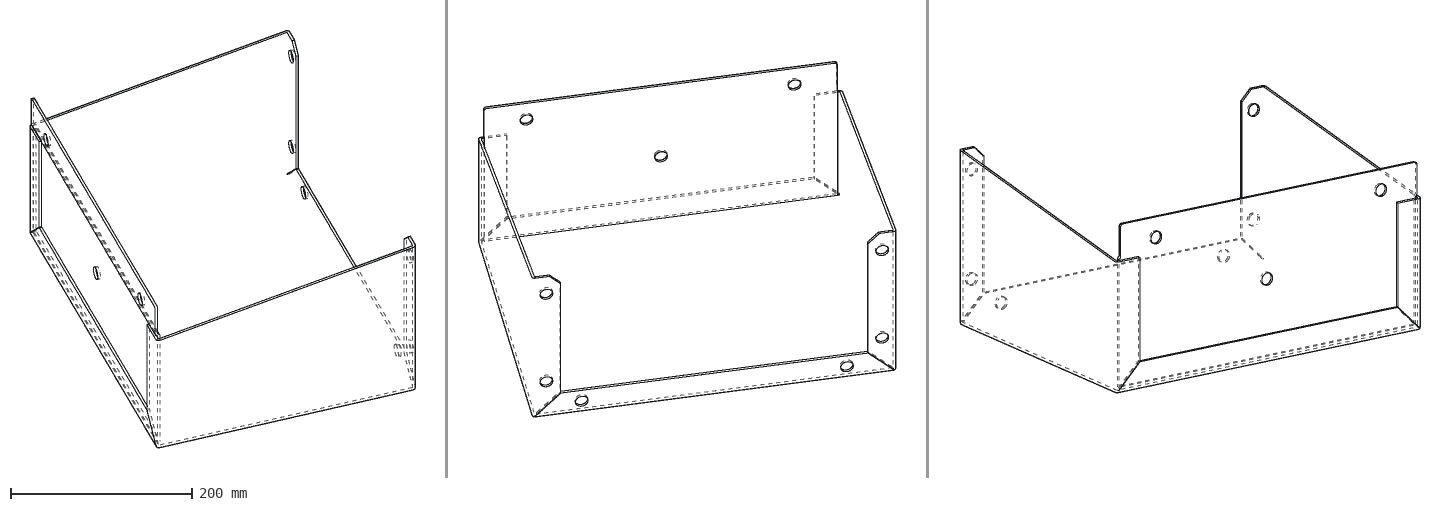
import cadquery as cq
import math

WIDTH = 409.575
DEPTH = 304.8
BACK_HEIGHT = 203.2
FRONT_HEIGHT = 152.4

SHEET = 3.04
INNER_BEND = 0.4
OUTER_BEND = SHEET + INNER_BEND

FLANGE = 31.75
FLANGE_CHAMFER = 12.7
SEAM = 0.5
MITRE_ANGLE = 45

HOLE_DIAMETER = 14.29
TAB_HOLE_SPAN = 301.625
BACK_HOLE_SPAN = 298.45
SIDE_FLANGE_HOLE_HEIGHTS = (50.8, 177.8)
FLANGE_MIDDLE = FLANGE / 2

PANEL_CLEARANCE = 3.0
PANEL_WIDTH = WIDTH - 2 * (SHEET + PANEL_CLEARANCE)
PANEL_BOTTOM = SHEET + PANEL_CLEARANCE
PANEL_TOP = 195.6
PANEL_CORNER_RADIUS = 3.0
STEP_TOP = 157.0
STEP_ANGLE = 45
TAB_HOLE_HEIGHT = 171.45
PLATE_HOLE_HEIGHT = 95.25

SIDES = (-1, 1)


def block(x_min, x_max, y_min, y_max, z_min, z_max):
    """Box between two opposite corners."""
    size = (x_max - x_min, y_max - y_min, z_max - z_min)
    return cq.Workplane("XY").box(*size, centered=False).translate((x_min, y_min, z_min))


def sheet_hole(x, y_start, z):
    """Cutter for a round hole through one sheet, along +Y from y_start."""
    length = 3 * SHEET
    hole = cq.Workplane("XZ").circle(HOLE_DIAMETER / 2).extrude(-length)
    return hole.translate((x, y_start - SHEET, z))


def bent_shell():
    """Five-walled sheet tray, open at the top, with bend radii inside and out."""
    half = WIDTH / 2
    outside = block(-half, half, 0, DEPTH, 0, BACK_HEIGHT)
    outside = outside.edges("|Z or <Z").fillet(OUTER_BEND)
    inside = block(-half + SHEET, half - SHEET, SHEET, DEPTH - SHEET, SHEET, BACK_HEIGHT + FLANGE)
    inside = inside.edges("|Z or <Z").fillet(INNER_BEND)
    return outside.cut(inside)


def end_opening(y_wall):
    """Cutter that leaves a flange along the sides and bottom of an end wall."""
    half = WIDTH / 2 - FLANGE
    return block(-half, half, y_wall, y_wall + SHEET, FLANGE, BACK_HEIGHT)


def sloped_top():
    """Cutter above the straight slope from the back height down to the front height."""
    profile = [(0, FRONT_HEIGHT), (DEPTH, BACK_HEIGHT), (0, BACK_HEIGHT)]
    return cq.Workplane("YZ").polyline(profile).close().extrude(WIDTH / 2, both=True)


def back_flange_chamfer(side):
    """Cutter for the 45 degree corner at the free top end of a back side flange."""
    x_edge = side * (WIDTH / 2 - FLANGE)
    corner = [
        (x_edge, BACK_HEIGHT),
        (x_edge + side * FLANGE_CHAMFER, BACK_HEIGHT),
        (x_edge, BACK_HEIGHT - FLANGE_CHAMFER),
    ]
    cutter = cq.Workplane("XZ").polyline(corner).close().extrude(-SHEET)
    return cutter.translate((0, DEPTH - SHEET, 0))


def mitre_seam(side, y_wall):
    """Cutter for the 45 degree seam between a side flange and the bottom flange."""
    middle = (OUTER_BEND + FLANGE) / 2
    length = (FLANGE - OUTER_BEND) * math.sqrt(2)
    seam = cq.Workplane("XY").box(length, SHEET, SEAM)
    seam = seam.rotate((0, 0, 0), (0, 1, 0), side * MITRE_ANGLE)
    return seam.translate((side * (WIDTH / 2 - middle), y_wall + SHEET / 2, middle))


def make_housing():
    y_back = DEPTH - SHEET
    body = bent_shell()
    for y_wall in (0, y_back):
        body = body.cut(end_opening(y_wall))
        for side in SIDES:
            body = body.cut(mitre_seam(side, y_wall))
    body = body.cut(sloped_top())
    for side in SIDES:
        body = body.cut(back_flange_chamfer(side))
        body = body.cut(sheet_hole(side * BACK_HOLE_SPAN / 2, y_back, FLANGE_MIDDLE))
        for height in SIDE_FLANGE_HOLE_HEIGHTS:
            body = body.cut(sheet_hole(side * (WIDTH / 2 - FLANGE_MIDDLE), y_back, height))
    return body


def make_front_panel():
    step_bottom = STEP_TOP - SHEET
    mitre = SHEET * math.tan(math.radians(STEP_ANGLE / 2))
    profile = [
        (0, PANEL_TOP),
        (0, STEP_TOP),
        (SHEET, step_bottom),
        (SHEET, PANEL_BOTTOM),
        (2 * SHEET, PANEL_BOTTOM),
        (2 * SHEET, step_bottom + mitre),
        (SHEET, STEP_TOP + mitre),
        (SHEET, PANEL_TOP),
    ]
    panel = cq.Workplane("YZ").polyline(profile).close().extrude(PANEL_WIDTH / 2, both=True)

    outer_bends = [(0, STEP_TOP), (2 * SHEET, step_bottom + mitre)]
    inner_bends = [(SHEET, step_bottom), (SHEET, STEP_TOP + mitre)]
    for bends, radius in ((outer_bends, OUTER_BEND), (inner_bends, INNER_BEND)):
        for y, z in bends:
            panel = panel.edges(cq.NearestToPointSelector((0, y, z))).fillet(radius)
    panel = panel.edges("|Y and >Z").fillet(PANEL_CORNER_RADIUS)

    for side in SIDES:
        panel = panel.cut(sheet_hole(side * TAB_HOLE_SPAN / 2, 0, TAB_HOLE_HEIGHT))
    return panel.cut(sheet_hole(0, SHEET, PLATE_HOLE_HEIGHT))


housing = make_housing()
front_panel = make_front_panel()

result = cq.Compound.makeCompound([housing.val(), front_panel.val()])